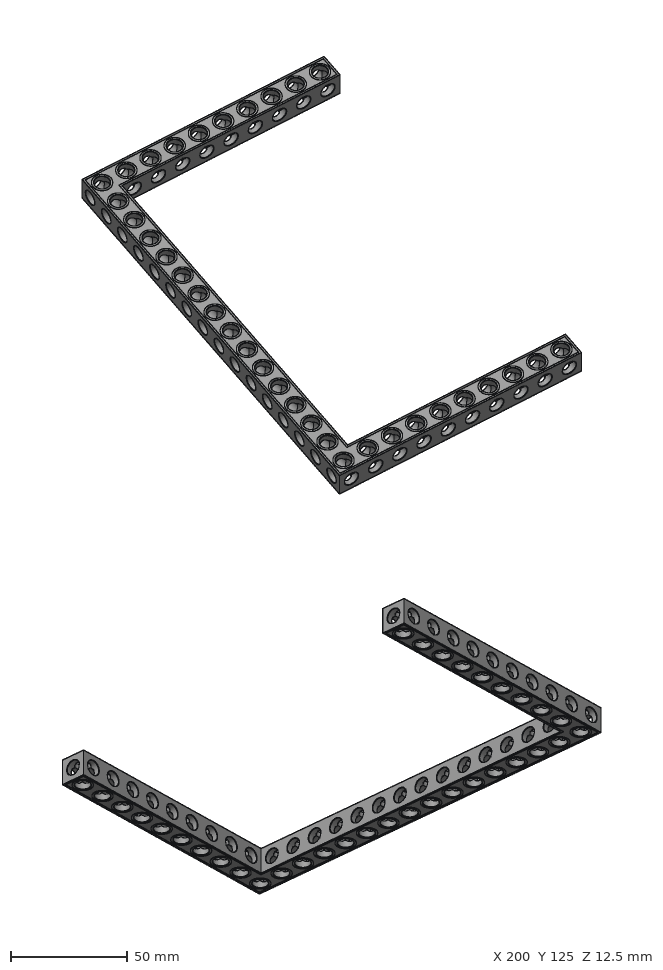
import cadquery as cq

length = 200
holes_long = 16
holes_arm = 10
hole_diameter = 7.0
ring_diameter = 9.2
rim_width = 1.0
recess_depth = 0.2
mouth_bevel = 0.2
edge_bevel = 0.1

pitch = length / holes_long
arm_length = pitch * holes_arm
half_pitch = pitch / 2

x_centres = [half_pitch + pitch * i for i in range(holes_long)]
y_centres = [half_pitch + pitch * i for i in range(holes_arm)]
arm_x_centres = [x_centres[0], x_centres[-1]]

upright_centres = [(x, half_pitch) for x in x_centres]
upright_centres += [(x, y) for x in arm_x_centres for y in y_centres[1:]]


def frame_slab(inset, bottom, height):
    """U-shaped slab resting at the bottom level, drawn in from the full outline by the inset."""
    inner = pitch - inset
    arm_end = arm_length - inset
    return (
        cq.Workplane("XY")
        .workplane(offset=bottom)
        .moveTo(inset, inset)
        .lineTo(length - inset, inset)
        .lineTo(length - inset, arm_end)
        .lineTo(length - inner, arm_end)
        .lineTo(length - inner, inner)
        .lineTo(inner, inner)
        .lineTo(inner, arm_end)
        .lineTo(inset, arm_end)
        .close()
        .extrude(height)
    )


def face_recess(bottom):
    """Shallow recess that leaves a rim along the frame edges and a raised ring at each hole."""
    rings = (
        cq.Workplane("XY")
        .workplane(offset=bottom)
        .pushPoints(upright_centres)
        .circle(ring_diameter / 2)
        .extrude(recess_depth)
    )
    return frame_slab(rim_width, bottom, recess_depth).cut(rings)


def hole_cutter(run, start, direction):
    """Straight hole of the given run from the start point, bevelled at both mouths."""
    end_plane = cq.Plane(origin=start, normal=direction)
    hole_radius = hole_diameter / 2
    mouth_radius = hole_radius + mouth_bevel
    profile = (
        cq.Workplane("XZ")
        .moveTo(0, 0)
        .lineTo(mouth_radius, 0)
        .lineTo(hole_radius, mouth_bevel)
        .lineTo(hole_radius, run - mouth_bevel)
        .lineTo(mouth_radius, run)
        .lineTo(0, run)
        .close()
    )
    cutter = profile.revolve(360, (0, 0, 0), (0, 1, 0))
    return cutter.val().moved(cq.Location(end_plane))


cutters = [hole_cutter(pitch, (x, y, 0), (0, 0, 1)) for x, y in upright_centres]

for x in x_centres:
    run = arm_length if x in arm_x_centres else pitch
    cutters.append(hole_cutter(run, (x, 0, half_pitch), (0, 1, 0)))

cutters.append(hole_cutter(length, (0, half_pitch, half_pitch), (1, 0, 0)))
for y in y_centres[1:]:
    for arm_side in (0, length - pitch):
        cutters.append(hole_cutter(pitch, (arm_side, y, half_pitch), (1, 0, 0)))

frame = frame_slab(0, 0, pitch).faces("<Z or >Z").chamfer(edge_bevel)
frame = frame.cut(face_recess(0)).cut(face_recess(pitch - recess_depth))

drilled_frame = cq.Workplane(frame.val().cut(*cutters))
result = drilled_frame.solids()